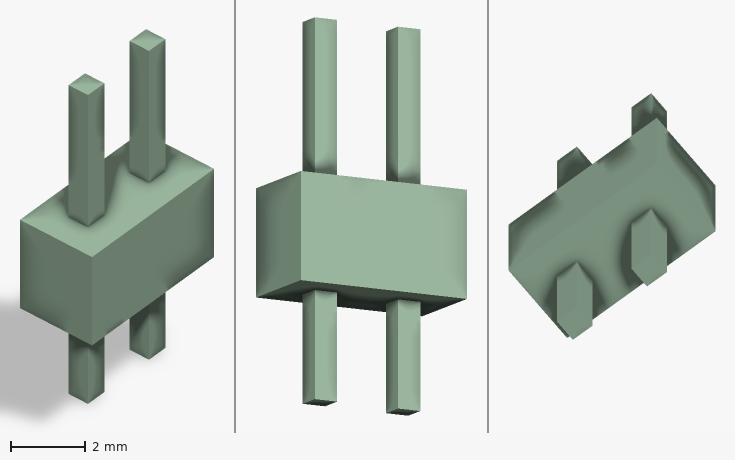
import cadquery as cq

pitch = 2.54
contact_count = 2
housing_height = 3.0
pin_length = 10.5
pin_width = 0.68
tail_length = 3.0

contact_positions = [(i - (contact_count - 1) / 2) * pitch for i in range(contact_count)]


def make_pin(y):
    """Square pin running through the housing block at the given Y."""
    return (
        cq.Workplane("XY")
        .box(pin_width, pin_width, pin_length, centered=(True, True, False))
        .translate((0, y, -tail_length))
    )


def make_housing(y):
    """Square block with a through hole that fits its pin."""
    return (
        cq.Workplane("XY")
        .box(pitch, pitch, housing_height, centered=(True, True, False))
        .faces(">Z")
        .workplane()
        .rect(pin_width, pin_width)
        .cutThruAll()
        .translate((0, y, 0))
    )


housings = [make_housing(y) for y in contact_positions]
pins = [make_pin(y) for y in contact_positions]

result = cq.Compound.makeCompound([body.val() for body in housings + pins])